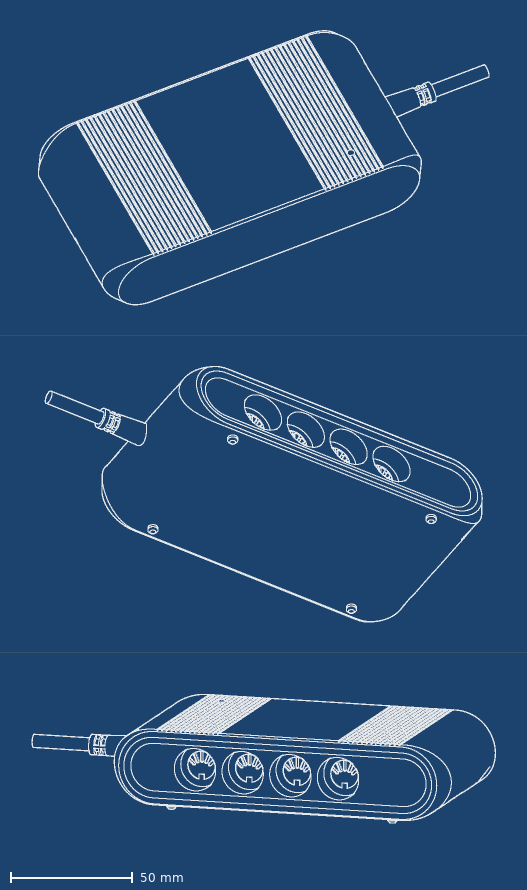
import cadquery as cq
import math

width = 76.0
length = 145.0
height = 31.8
flat_half_length = 53.5
end_bulge = length / 2 - flat_half_length

side_face_radius = 15.2
side_face_straight = 106.4
bevel_angle = 30.0

recess_depth = 1.1
recess_floor_radius = 10.0
recess_mouth_radius = 12.7
recess_straight = 2 * flat_half_length

socket_count = 4
socket_pitch = 20.5
first_socket_y = -25.6
socket_bore_radius = 8.9
socket_bore_depth = 9.0
plug_face_radius = 5.9
plug_face_depth = 0.5
key_width = 2.3
key_top_z = -3.7
contact_count = 5
contact_spread = 22.5
contact_pivot_z = -3.0
contact_inner_reach = 4.2
contact_outer_reach = 9.5
contact_width = 1.15
contact_depth = 1.0

groove_count = 14
groove_pitch = 2.0
groove_width = 0.8
groove_depth = 0.4
groove_margin = 1.5
outer_groove_y = flat_half_length - groove_margin

lamp_x = 24.7
lamp_y = 43.4
lamp_radius = 1.5
lamp_rounding = 1.0
lamp_rise = 0.7

foot_x = 32.0
foot_y = 47.5
foot_radius = 2.1
foot_tip_radius = 1.2
foot_height = 2.2

cable_z = -0.2
cable_radius = 2.75
cable_end_y = 116.5
relief_end_y = 91.7
relief_cone_y = 84.7
relief_radius = 4.25
relief_base_radius = 5.0
relief_embedding = 3.0
relief_root_y = length / 2 - relief_embedding
slot_width = 2.0
slot_starts_y = (relief_cone_y, 87.5)
slot_web = 1.2


def stadium_prism(straight, radius, depth, taper):
    """Stadium on the YZ plane with its straight sides along Y, extruded toward +X."""
    return (
        cq.Workplane("YZ")
        .slot2D(straight + 2 * radius, 2 * radius)
        .extrude(depth, taper=taper)
    )


def make_profile_body():
    """Flat slab with half-elliptical ends."""
    body = cq.Workplane("XY").box(width, 2 * flat_half_length, height)
    for side in (-1, 1):
        bulge = (
            cq.Workplane("YZ", origin=(-width / 2, side * flat_half_length, 0))
            .ellipse(end_bulge, height / 2)
            .extrude(width)
        )
        body = body.union(bulge)
    return body


def make_flared_envelope():
    """Stadium that widens from each side face toward the middle of the housing."""
    half = stadium_prism(side_face_straight, side_face_radius, width / 2, -bevel_angle)
    half = half.translate((-width / 2, 0, 0))
    return half.union(half.mirror("YZ"))


def make_recess():
    slope = math.degrees(math.atan((recess_mouth_radius - recess_floor_radius) / recess_depth))
    recess = stadium_prism(recess_straight, recess_mouth_radius, recess_depth, slope)
    return recess.translate((-width / 2, 0, 0))


def make_plug_face():
    """Shallow round pocket with a key left standing at its bottom and contact slots in its floor."""
    total_depth = plug_face_depth + contact_depth
    pocket = cq.Workplane("YZ").circle(plug_face_radius).extrude(plug_face_depth)
    key_height = plug_face_radius + key_top_z
    key = (
        cq.Workplane("YZ")
        .center(0, key_top_z - key_height / 2)
        .rect(key_width, key_height)
        .extrude(plug_face_depth)
    )
    slot_length = contact_outer_reach - contact_inner_reach
    slot_middle = (contact_outer_reach + contact_inner_reach) / 2
    contacts = cq.Workplane("YZ")
    for index in range(contact_count):
        angle = (index - (contact_count - 1) / 2) * contact_spread
        slot = (
            cq.Workplane("YZ")
            .center(0, slot_middle)
            .slot2D(slot_length, contact_width, 90)
            .extrude(total_depth)
            .rotate((0, 0, 0), (1, 0, 0), angle)
            .translate((0, 0, contact_pivot_z))
        )
        contacts = contacts.union(slot)
    rim = cq.Workplane("YZ").circle(plug_face_radius).extrude(total_depth)
    return pocket.cut(key).union(contacts.intersect(rim))


def make_sockets():
    bore = cq.Workplane("YZ").circle(socket_bore_radius).extrude(socket_bore_depth)
    socket = bore.union(make_plug_face().translate((socket_bore_depth, 0, 0)))
    sockets = cq.Workplane("YZ")
    floor_x = -width / 2 + recess_depth
    for index in range(socket_count):
        socket_y = first_socket_y + index * socket_pitch
        sockets = sockets.union(socket.translate((floor_x, socket_y, 0)))
    return sockets


def make_grooves():
    half_width = groove_width / 2
    groove = (
        cq.Workplane("YZ", origin=(-width / 2, 0, height / 2))
        .polyline([(-half_width, 0), (0, -groove_depth), (half_width, 0)])
        .close()
        .extrude(width)
    )
    grooves = cq.Workplane("YZ")
    for side in (-1, 1):
        for index in range(groove_count):
            groove_y = side * (outer_groove_y - index * groove_pitch)
            grooves = grooves.union(groove.translate((0, groove_y, 0)))
    return grooves


def make_lamp():
    """Round stem with a shallow dome whose top stands just above the housing."""
    top_z = height / 2 + lamp_rise
    foot_z = height / 2 - 2 * groove_depth
    return (
        cq.Workplane("XY", origin=(lamp_x, lamp_y, foot_z))
        .circle(lamp_radius)
        .extrude(top_z - foot_z)
        .faces(">Z")
        .edges()
        .fillet(lamp_rounding)
    )


def make_feet():
    return (
        cq.Workplane("XY", origin=(0, 0, -height / 2))
        .rect(2 * foot_x, 2 * foot_y, forConstruction=True)
        .vertices()
        .circle(foot_radius)
        .extrude(-foot_height)
        .faces("<Z")
        .edges()
        .chamfer(foot_height / 2, foot_radius - foot_tip_radius)
    )


def make_relief_slots():
    """Slots in the four quadrants of the strain relief, leaving a cross of webs around the cable."""
    slots = cq.Workplane("XZ")
    for start_y in slot_starts_y:
        ring = (
            cq.Workplane("XZ", origin=(0, start_y, 0))
            .circle(2 * relief_radius)
            .circle(cable_radius)
            .extrude(-slot_width)
        )
        slots = slots.union(ring)
    reach = 4 * relief_radius
    webs = (
        cq.Workplane("XZ", origin=(0, relief_root_y, 0))
        .rect(reach, slot_web)
        .extrude(relief_root_y - relief_end_y)
    )
    return slots.cut(webs).cut(webs.rotate((0, 0, 0), (0, 1, 0), 90))


def make_cable():
    relief = (
        cq.Workplane("XY")
        .moveTo(0, relief_root_y)
        .lineTo(relief_base_radius, relief_root_y)
        .lineTo(relief_radius, relief_cone_y)
        .lineTo(relief_radius, relief_end_y)
        .lineTo(cable_radius, relief_end_y)
        .lineTo(cable_radius, cable_end_y)
        .lineTo(0, cable_end_y)
        .close()
        .revolve(360, (0, 0, 0), (0, 1, 0))
    )
    return relief.cut(make_relief_slots()).translate((0, 0, cable_z))


housing = make_profile_body().intersect(make_flared_envelope())
housing = housing.cut(make_recess()).cut(make_sockets()).cut(make_grooves())
result = housing.union(make_lamp()).union(make_feet()).union(make_cable())